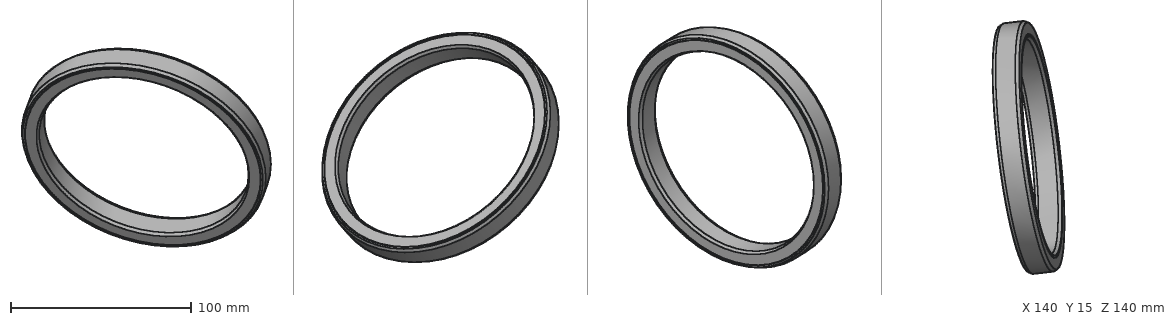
import cadquery as cq

outer_diameter = 140.0
bore_diameter = 120.0
width = 15.0

chamfer_axial = 2.0
chamfer_radial = 1.1

clearance = 0.3
sleeve_thickness = 2.2

outer_radius = outer_diameter / 2
bore_radius = bore_diameter / 2
front_y = -width / 2
back_y = width / 2

outer_sleeve_radius = outer_radius - sleeve_thickness
front_flange_radius = outer_sleeve_radius - clearance
inner_sleeve_radius = bore_radius + sleeve_thickness
back_flange_radius = inner_sleeve_radius + clearance
front_flange_y = -clearance / 2
back_flange_y = clearance / 2


def revolve_about_y(section_points):
    """Ring swept around the Y axis from a closed section of (radius, y) points."""
    section = cq.Workplane("XY").polyline(section_points).close()
    return section.revolve(360, (0, 0, 0), (0, 1, 0))


def make_inner_ring():
    """Sleeve along the bore with a flange reaching outward at the front."""
    chamfer_radius = bore_radius + chamfer_radial
    return revolve_about_y([
        (chamfer_radius, front_y),
        (front_flange_radius, front_y),
        (front_flange_radius, front_flange_y),
        (inner_sleeve_radius, front_flange_y),
        (inner_sleeve_radius, back_y),
        (chamfer_radius, back_y),
        (bore_radius, back_y - chamfer_axial),
        (bore_radius, front_y + chamfer_axial),
    ])


def make_outer_ring():
    """Sleeve along the rim with a flange reaching inward at the back."""
    chamfer_radius = outer_radius - chamfer_radial
    return revolve_about_y([
        (outer_sleeve_radius, front_y),
        (chamfer_radius, front_y),
        (outer_radius, front_y + chamfer_axial),
        (outer_radius, back_y - chamfer_axial),
        (chamfer_radius, back_y),
        (back_flange_radius, back_y),
        (back_flange_radius, back_flange_y),
        (outer_sleeve_radius, back_flange_y),
    ])


inner_ring = make_inner_ring()
outer_ring = make_outer_ring()

result = cq.Compound.makeCompound([inner_ring.val(), outer_ring.val()])